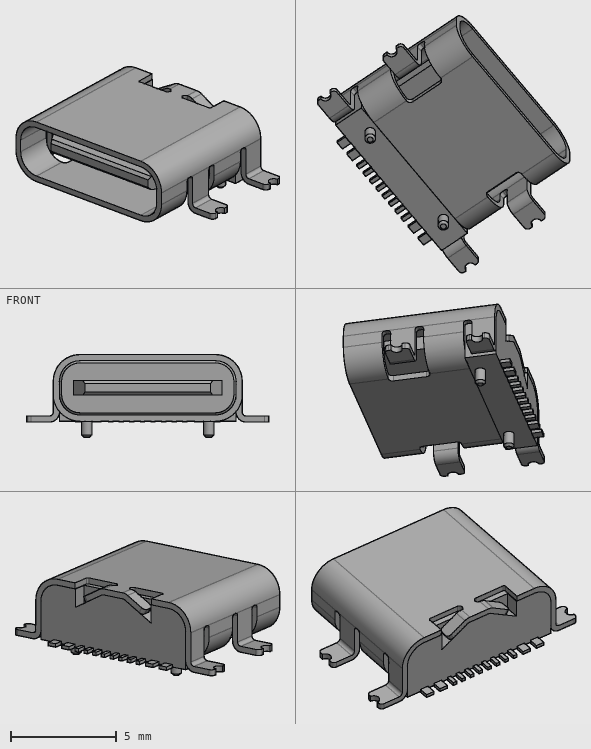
import cadquery as cq
import math


shell_width = 8.93
shell_height = 3.16
shell_length = 7.36
sheet = 0.3
corner_radius = 1.27
inner_width = shell_width - 2 * sheet
inner_height = shell_height - 2 * sheet
inner_radius = corner_radius - sheet
side_top = shell_height - corner_radius
side_bottom = corner_radius

slot_width = 0.41
slot_corner = 0.16
front_leg_y = 2.3
front_leg_width = 1.19
rear_leg_width = 1.11
rear_leg_y = shell_length - rear_leg_width
rear_opening_y = rear_leg_y - slot_width
window_half_width = 2.97
window_corner = 0.21
leg_span = 11.44
leg_bottom = -0.05
leg_bend_radius = 0.18
leg_tip_radius = 0.2
leg_notch_radius = 0.26

tab_half_width = 0.54
flap_angle = math.radians(30)
flap_bend_width = 0.29
flap_tip_x = 1.81
flap_front_y = 6.67
flap_corner = 0.2
roof_cut_half_width = 2.2
roof_slot_front_y = 6.34
roof_slot_inner_x = 0.38
roof_slot_end_radius = 0.16
roof_cut_corner = 0.08

block_chamfer = 0.1
block_front_y = rear_opening_y - block_chamfer
pocket_front_y = 6.64
pocket_half_width = 2.17
tongue_front_y = 0.8
tongue_width = 7.02
tongue_tip_width = 5.95
tongue_thickness = 0.7
tongue_chamfer = 0.15
tongue_taper_length = 0.94
peg_diameter = 0.5
peg_x = 2.88
peg_y = shell_length - 1.08
peg_bottom = -0.75
peg_chamfer = 0.11
terminal_length = 0.49
terminal_thickness = 0.17
narrow_terminal_width = 0.21
narrow_terminal_count = 8
narrow_terminal_last_x = 1.75
wide_terminal_width = 0.43
wide_terminal_centers = (2.41, 3.19)

mid_z = shell_height / 2
cut_margin = 0.11


def box(x0, x1, y0, y1, z0, z1):
    """A box between the given limits."""
    return cq.Workplane("XY").box(x1 - x0, y1 - y0, z1 - z0, centered=False).translate((x0, y0, z0))


def extrude_y(outline, y0, y1):
    """Extrude a closed outline drawn in XZ from y0 to y1."""
    return outline.extrude(-(y1 - y0)).translate((0, y0, 0))


def rounded_bar(width, height, radius, y0, y1):
    """A bar along Y with a rounded rectangular section, centred on the shell."""
    bar = box(-width / 2, width / 2, y0, y1, mid_z - height / 2, mid_z + height / 2)
    return bar.edges("|Y").fillet(radius)


def mirrored_pair(body):
    """The body together with its mirror image across the middle plane X = 0."""
    return body.union(body.mirror("YZ"))


bend_outer_radius = flap_bend_width / math.sin(flap_angle)
bend_inner_radius = bend_outer_radius - sheet
bend_center_z = shell_height - bend_outer_radius


def bend_point(radius, angle):
    """A point on the right-hand flap bend, at an angle measured from straight up."""
    return (tab_half_width + radius * math.sin(angle), bend_center_z + radius * math.cos(angle))


def slope_point(radius, x):
    """The point at x on the straight slope that leaves the bend of the given radius."""
    start_x, start_z = bend_point(radius, flap_angle)
    return (x, start_z - (x - start_x) * math.tan(flap_angle))


def side_slot(y0):
    """A gap beside a leg, through both side walls, with rounded upper corners."""
    reach = shell_width / 2 + cut_margin
    slot = box(-reach, reach, y0, y0 + slot_width, side_bottom, side_top)
    return slot.edges("|X and >Z").fillet(slot_corner)


def side_window():
    """The opening in the right lower corner and floor that the front leg was bent out of."""
    window = box(
        window_half_width, shell_width / 2 + cut_margin,
        front_leg_y - slot_width, front_leg_y + front_leg_width + slot_width,
        -cut_margin, side_bottom,
    )
    return window.edges("|Z and <X").fillet(window_corner)


def leg(y0, width):
    """A right-hand leg: down from the side wall, then bent outward into a notched foot."""
    wall = shell_width / 2
    tip = leg_span / 2
    foot_top = leg_bottom + sheet
    outer_bend = leg_bend_radius + sheet
    bend_x = wall + leg_bend_radius
    bend_z = foot_top + leg_bend_radius
    diagonal = math.sqrt(0.5)
    outline = (
        cq.Workplane("XZ")
        .moveTo(wall - sheet, side_bottom)
        .lineTo(wall - sheet, bend_z)
        .threePointArc(
            (bend_x - outer_bend * diagonal, bend_z - outer_bend * diagonal), (bend_x, leg_bottom)
        )
        .lineTo(tip, leg_bottom)
        .lineTo(tip, foot_top)
        .lineTo(bend_x, foot_top)
        .threePointArc(
            (bend_x - leg_bend_radius * diagonal, bend_z - leg_bend_radius * diagonal), (wall, bend_z)
        )
        .lineTo(wall, side_bottom)
        .close()
    )
    strip = extrude_y(outline, y0, y0 + width).edges("|Z and >X").fillet(leg_tip_radius)
    notch = (
        cq.Workplane("XY", origin=(tip, y0 + width / 2, leg_bottom))
        .circle(leg_notch_radius)
        .extrude(sheet)
    )
    return strip.cut(notch)


def roof_cut():
    """The L-shaped cut in the roof that frees the right-hand flap."""
    slot = box(
        roof_slot_inner_x, roof_cut_half_width, roof_slot_front_y, flap_front_y,
        shell_height - sheet, shell_height,
    )
    slot = slot.edges("|Z and <X").fillet(roof_slot_end_radius)
    slot = slot.edges("|Z and >X and <Y").fillet(roof_cut_corner)
    opening = box(
        tab_half_width, roof_cut_half_width, flap_front_y, shell_length,
        shell_height - sheet, shell_height,
    )
    return slot.union(opening)


def flap():
    """The right-hand flap, sloping down from the flat tab to its rounded tip."""
    tip_top = slope_point(bend_outer_radius, flap_tip_x)
    tip_bottom = (tip_top[0] - sheet * math.sin(flap_angle), tip_top[1] - sheet * math.cos(flap_angle))
    outline = (
        cq.Workplane("XZ")
        .moveTo(*bend_point(bend_outer_radius, 0))
        .threePointArc(
            bend_point(bend_outer_radius, flap_angle / 2), bend_point(bend_outer_radius, flap_angle)
        )
        .lineTo(*tip_top)
        .lineTo(*tip_bottom)
        .lineTo(*bend_point(bend_inner_radius, flap_angle))
        .threePointArc(bend_point(bend_inner_radius, flap_angle / 2), bend_point(bend_inner_radius, 0))
        .close()
    )
    tip_normal = cq.Vector(math.sin(flap_angle), 0, math.cos(flap_angle))
    tip_edges = cq.selectors.ParallelDirSelector(tip_normal)
    return extrude_y(outline, flap_front_y, shell_length).edges(tip_edges).fillet(flap_corner)


def make_shell():
    shell = rounded_bar(shell_width, shell_height, corner_radius, 0, shell_length)
    shell = shell.cut(rounded_bar(inner_width, inner_height, inner_radius, 0, shell_length))
    shell = shell.cut(mirrored_pair(side_window()))
    reach = shell_width / 2 + cut_margin
    shell = shell.cut(box(-reach, reach, rear_opening_y, shell_length, -cut_margin, side_bottom))
    for slot_y in (front_leg_y - slot_width, front_leg_y + front_leg_width, rear_opening_y):
        shell = shell.cut(side_slot(slot_y))
    for leg_y, leg_width in ((front_leg_y, front_leg_width), (rear_leg_y, rear_leg_width)):
        shell = shell.union(mirrored_pair(leg(leg_y, leg_width)))
    shell = shell.cut(mirrored_pair(roof_cut()))
    return shell.union(mirrored_pair(flap()))


def block():
    """The body that closes the back of the shell and fills its open rear floor."""
    plug = rounded_bar(inner_width, inner_height, inner_radius, block_front_y, shell_length)
    plug = plug.faces("<Y").edges().chamfer(block_chamfer)
    base = box(-inner_width / 2, inner_width / 2, rear_opening_y, shell_length, 0, mid_z)
    return plug.union(base)


def flap_pocket():
    """The pocket for the right-hand flap; its floor lies against the underside of the flap."""
    outline = (
        cq.Workplane("XZ")
        .moveTo(*bend_point(bend_inner_radius, 0))
        .threePointArc(
            bend_point(bend_inner_radius, flap_angle / 2), bend_point(bend_inner_radius, flap_angle)
        )
        .lineTo(*slope_point(bend_inner_radius, pocket_half_width))
        .lineTo(pocket_half_width, shell_height)
        .lineTo(tab_half_width, shell_height)
        .close()
    )
    return extrude_y(outline, pocket_front_y, shell_length)


def tongue():
    """The contact tongue, with a narrowed tip and a chamfered leading edge."""
    half_width = tongue_width / 2
    half_tip_width = tongue_tip_width / 2
    taper_end_y = tongue_front_y + tongue_taper_length
    plate = (
        cq.Workplane("XY", origin=(0, 0, mid_z))
        .polyline([
            (-half_tip_width, tongue_front_y),
            (half_tip_width, tongue_front_y),
            (half_width, taper_end_y),
            (half_width, shell_length),
            (-half_width, shell_length),
            (-half_width, taper_end_y),
        ])
        .close()
        .extrude(tongue_thickness / 2, both=True)
    )
    return plate.faces("<Y").edges("|X").chamfer(tongue_chamfer)


def peg(x):
    """A locating peg under the block."""
    pin = cq.Workplane("XY", origin=(x, peg_y, peg_bottom)).circle(peg_diameter / 2).extrude(-peg_bottom)
    return pin.faces("<Z").chamfer(peg_chamfer)


def terminal(x, width):
    """A solder terminal sticking out of the back of the block."""
    return box(
        x - width / 2, x + width / 2, shell_length, shell_length + terminal_length,
        leg_bottom, leg_bottom + terminal_thickness,
    )


def make_housing():
    housing = block().union(tongue()).cut(mirrored_pair(flap_pocket()))
    for side in (-1, 1):
        housing = housing.union(peg(side * peg_x))
        for center in wide_terminal_centers:
            housing = housing.union(terminal(side * center, wide_terminal_width))
    pitch = 2 * narrow_terminal_last_x / (narrow_terminal_count - 1)
    for index in range(narrow_terminal_count):
        housing = housing.union(terminal(-narrow_terminal_last_x + index * pitch, narrow_terminal_width))
    return housing


shell = make_shell()
housing = make_housing()
result = cq.Compound.makeCompound([shell.solids().val(), housing.solids().val()])